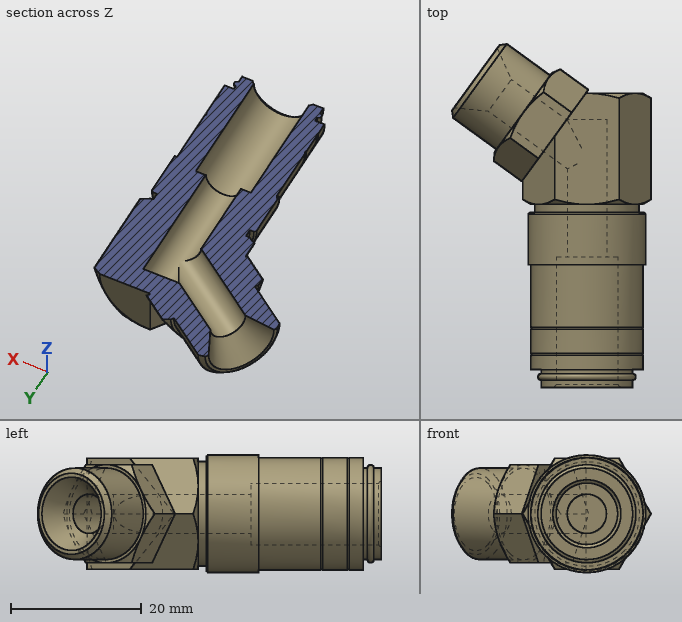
import cadquery as cq
import math

ARM_RISE_DEG = 36.0
AXES_CROSS_Y = 35.0
ARM_BASE_TO_CROSS = 6.0

SPIGOT_DIA = 14.0
RING_DIA = 15.0
RING_WIRE_DIA = 1.0
RING_Y = 1.65
COLLAR_START_Y = 2.75
COLLAR_DIA = 17.2
GROOVE_WIDTH = 0.3
GROOVE_DEPTH = 0.1
GROOVE_STARTS_Y = (4.95, 8.95)
SLEEVE_START_Y = 18.75
SLEEVE_DIA = 18.0
SLEEVE_CHAMFER = 0.3
SLEEVE_END_Y = 26.8
NECK_DIA = 16.0
BODY_START_Y = 28.0
BODY_LENGTH = 17.0
BODY_FLATS = 17.0

ARM_HEX_FLATS = 15.0
ARM_HEX_LENGTH = 6.0
ARM_DIA = 14.0
ARM_LENGTH = 15.0
ARM_TIP_CHAMFER = 0.8
HEX_CHAMFER_DEG = 30.0

CONE_DIA = 11.2
CONE_HALF_ANGLE_DEG = 30.0
PASSAGE_DIA = 6.0
TUBE_DIA = 9.4
TUBE_MOUTH_CHAMFER = 0.5
TUBE_DEPTH = 20.0
PASSAGE_OVERRUN = 6.0

BODY_END_Y = BODY_START_Y + BODY_LENGTH
RISE = math.radians(ARM_RISE_DEG)
ARM_BASE_X = -ARM_BASE_TO_CROSS * math.cos(RISE)
ARM_BASE_Y = AXES_CROSS_Y + ARM_BASE_TO_CROSS * math.sin(RISE)

SLEEVE_FRAME = cq.Plane(origin=(0, 0, 0), xDir=(1, 0, 0), normal=(0, 1, 0))
ARM_FRAME = cq.Plane(
    origin=(ARM_BASE_X, ARM_BASE_Y, 0),
    xDir=(math.sin(RISE), math.cos(RISE), 0),
    normal=(-math.cos(RISE), math.sin(RISE), 0),
)


def cylinder(frame, start, end, dia):
    return cq.Workplane(frame).workplane(offset=start).circle(dia / 2).extrude(end - start)


def revolved(frame, profile):
    """Turn (radius, distance along axis) points about the frame's axis."""
    side = cq.Plane(origin=frame.origin, xDir=frame.xDir, normal=-frame.yDir)
    return cq.Workplane(side).polyline(profile).close().revolve(360, (0, 0), (0, 1))


def cone(frame, start, end, start_dia, end_dia):
    profile = [(0, start), (start_dia / 2, start), (end_dia / 2, end), (0, end)]
    return revolved(frame, profile)


def chamfered_hexagon(frame, start, end, flats, chamfer_start):
    """Hexagonal prism with turned corners at its far end, and at its near end if asked."""
    corner_radius = flats / math.sqrt(3)
    drop = (corner_radius - flats / 2) * math.tan(math.radians(HEX_CHAMFER_DEG))
    near_radius = flats / 2 if chamfer_start else corner_radius
    prism = (
        cq.Workplane(frame).workplane(offset=start)
        .polygon(6, 2 * corner_radius).extrude(end - start)
    )
    envelope = revolved(frame, [
        (0, start),
        (near_radius, start),
        (corner_radius, start + drop),
        (corner_radius, end - drop),
        (flats / 2, end),
        (0, end),
    ])
    return prism.intersect(envelope)


def make_sleeve():
    sleeve = cylinder(SLEEVE_FRAME, 0, COLLAR_START_Y, SPIGOT_DIA)
    ring_radius = (RING_DIA - RING_WIRE_DIA) / 2
    wire = cq.Workplane("XY").moveTo(ring_radius, RING_Y).circle(RING_WIRE_DIA / 2)
    ring = wire.revolve(360, (0, 0), (0, 1))
    collar = cylinder(SLEEVE_FRAME, COLLAR_START_Y, SLEEVE_START_Y, COLLAR_DIA)
    for groove_y in GROOVE_STARTS_Y:
        groove_end = groove_y + GROOVE_WIDTH
        band = cylinder(SLEEVE_FRAME, groove_y, groove_end, COLLAR_DIA)
        core = cylinder(SLEEVE_FRAME, groove_y, groove_end, COLLAR_DIA - 2 * GROOVE_DEPTH)
        collar = collar.cut(band.cut(core))
    shell = cylinder(SLEEVE_FRAME, SLEEVE_START_Y, SLEEVE_END_Y, SLEEVE_DIA)
    shell = shell.faces(">Y").edges().chamfer(SLEEVE_CHAMFER)
    neck = cylinder(SLEEVE_FRAME, SLEEVE_END_Y, BODY_START_Y, NECK_DIA)
    return sleeve.union(ring).union(collar).union(shell).union(neck)


def make_body():
    body = chamfered_hexagon(SLEEVE_FRAME, BODY_START_Y, BODY_END_Y, BODY_FLATS, True)
    cutter_side = 4 * BODY_FLATS
    beyond_slope = cq.Workplane(ARM_FRAME).rect(cutter_side, cutter_side).extrude(BODY_LENGTH)
    return body.cut(beyond_slope)


def make_arm():
    hexagon = chamfered_hexagon(ARM_FRAME, 0, ARM_HEX_LENGTH, ARM_HEX_FLATS, False)
    shoulder = ARM_LENGTH - ARM_TIP_CHAMFER
    stem = cylinder(ARM_FRAME, 0, shoulder, ARM_DIA)
    tip = cone(ARM_FRAME, shoulder, ARM_LENGTH, ARM_DIA, ARM_DIA - 2 * ARM_TIP_CHAMFER)
    return hexagon.union(stem).union(tip)


def make_bores():
    mouth_dia = TUBE_DIA + 2 * TUBE_MOUTH_CHAMFER
    mouth = cone(SLEEVE_FRAME, 0, TUBE_MOUTH_CHAMFER, mouth_dia, TUBE_DIA)
    tube_seat = cylinder(SLEEVE_FRAME, 0, TUBE_DEPTH, TUBE_DIA)
    straight = cylinder(SLEEVE_FRAME, 0, AXES_CROSS_Y + PASSAGE_OVERRUN, PASSAGE_DIA)
    slanted = cylinder(ARM_FRAME, -ARM_BASE_TO_CROSS, ARM_LENGTH, PASSAGE_DIA)
    cone_depth = (CONE_DIA - PASSAGE_DIA) / 2 / math.tan(math.radians(CONE_HALF_ANGLE_DEG))
    seat = cone(ARM_FRAME, ARM_LENGTH - cone_depth, ARM_LENGTH, PASSAGE_DIA, CONE_DIA)
    return mouth.union(tube_seat).union(straight).union(slanted).union(seat)


result = make_sleeve().union(make_body()).union(make_arm()).cut(make_bores())